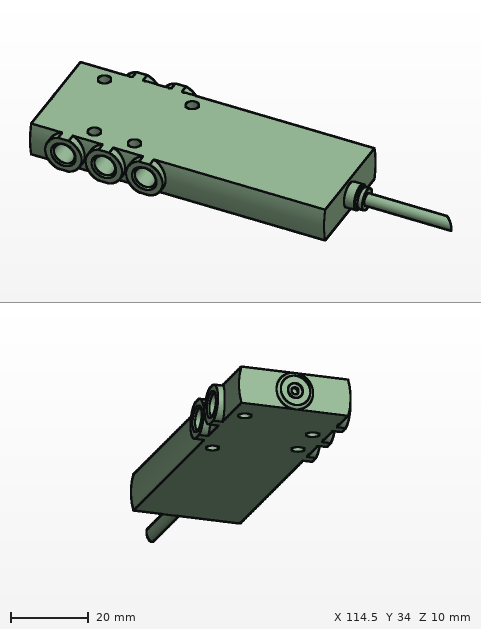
import cadquery as cq

total_length = 114.5
width_over_ports = 34.0
height = 10.0

housing_start = 0.6
housing_end = 84.6
housing_half_width = 15.2
flat_half_width = 14.5

port_outer_diameter = 10.4
port_mouth_diameter = 7.0
port_bore_diameter = 6.0
port_depth = 6.9
port_chamfer = (port_mouth_diameter - port_bore_diameter) / 2
port_root_y = 11.5
front_port_start = 11.0
front_port_pitch = 11.6
front_port_count = 3
back_port_start = 17.0
back_port_pitch = 11.1
back_port_count = 2

mount_hole_diameter = 3.4
mount_hole_y = 10.5
front_mount_holes_x = (16.7, 28.2)
back_mount_holes_x = (9.4, 34.5)

plug_base_diameter = 10.0
plug_face_diameter = 8
plug_recess_diameter = 4.0
plug_recess_depth = 0.3
plug_hole_diameter = 2.0
plug_hole_depth = 1.1

gland_diameter = 7.0
gland_end = 87.5
neck_diameter = 5.7
neck_end = 88.2
sleeve_diameter = 6.0
sleeve_end = 89.5
cable_diameter = 3.4


def x_cylinder(diameter, start, end):
    """Cylinder on the cable axis between two X positions."""
    return cq.Workplane("YZ", origin=(start, 0, 0)).circle(diameter / 2).extrude(end - start)


def housing():
    """Block with flat top and bottom and bulged long sides."""
    top = height / 2
    return (
        cq.Workplane("YZ", origin=(housing_start, 0, 0))
        .moveTo(-flat_half_width, -top)
        .lineTo(flat_half_width, -top)
        .threePointArc((housing_half_width, 0), (flat_half_width, top))
        .lineTo(-flat_half_width, top)
        .threePointArc((-housing_half_width, 0), (-flat_half_width, -top))
        .close()
        .extrude(housing_end - housing_start)
    )


def y_cylinder(diameter, x, side, inner_y, outer_y):
    """Cylinder along Y on the front (side = -1) or back (side = 1)."""
    plane = cq.Plane(origin=(x, side * inner_y, 0), xDir=(1, 0, 0), normal=(0, side, 0))
    return cq.Workplane(plane).circle(diameter / 2).extrude(outer_y - inner_y)


def port_boss(x, side):
    """Round boss trimmed flush with the top and bottom of the housing."""
    boss = y_cylinder(port_outer_diameter, x, side, port_root_y, width_over_ports / 2)
    trim = cq.Workplane("XY").box(port_outer_diameter, width_over_ports, height)
    return boss.intersect(trim.translate((x, 0, 0)))


def port_bore(x, side):
    """Blind bore with a conical mouth."""
    outer_y = width_over_ports / 2
    bore = y_cylinder(port_bore_diameter, x, side, outer_y - port_depth, outer_y)
    mouth_plane = cq.Plane(origin=(x, side * outer_y, 0), xDir=(1, 0, 0), normal=(0, side, 0))
    cone = (
        cq.Workplane(mouth_plane)
        .circle(port_mouth_diameter / 2)
        .workplane(offset=-port_chamfer)
        .circle(port_bore_diameter / 2)
        .loft()
    )
    return bore.union(cone)


def end_plug():
    """Low conical disc on the -X end."""
    return (
        cq.Workplane("YZ")
        .circle(plug_face_diameter / 2)
        .workplane(offset=housing_start)
        .circle(plug_base_diameter / 2)
        .loft()
    )


def cable():
    """Cable cut at 45 degrees, with its tip on the -Y side."""
    radius = cable_diameter / 2
    envelope = (
        cq.Workplane("XY", origin=(0, 0, -radius))
        .moveTo(housing_end, -radius)
        .lineTo(total_length, -radius)
        .lineTo(total_length - cable_diameter, radius)
        .lineTo(housing_end, radius)
        .close()
        .extrude(cable_diameter)
    )
    return x_cylinder(cable_diameter, housing_end, total_length).intersect(envelope)


ports = [(front_port_start + i * front_port_pitch, -1) for i in range(front_port_count)]
ports += [(back_port_start + i * back_port_pitch, 1) for i in range(back_port_count)]

result = housing()

for port_x, port_side in ports:
    result = result.union(port_boss(port_x, port_side))
for port_x, port_side in ports:
    result = result.cut(port_bore(port_x, port_side))

mount_points = [(x, -mount_hole_y) for x in front_mount_holes_x]
mount_points += [(x, mount_hole_y) for x in back_mount_holes_x]
mount_holes = (
    cq.Workplane("XY", origin=(0, 0, -height / 2))
    .pushPoints(mount_points)
    .circle(mount_hole_diameter / 2)
    .extrude(height)
)
result = result.cut(mount_holes)

result = (
    result.union(end_plug())
    .cut(x_cylinder(plug_recess_diameter, 0, plug_recess_depth))
    .cut(x_cylinder(plug_hole_diameter, 0, plug_hole_depth))
)

result = (
    result.union(x_cylinder(gland_diameter, housing_end, gland_end))
    .union(x_cylinder(neck_diameter, gland_end, neck_end))
    .union(x_cylinder(sleeve_diameter, neck_end, sleeve_end))
    .union(cable())
)